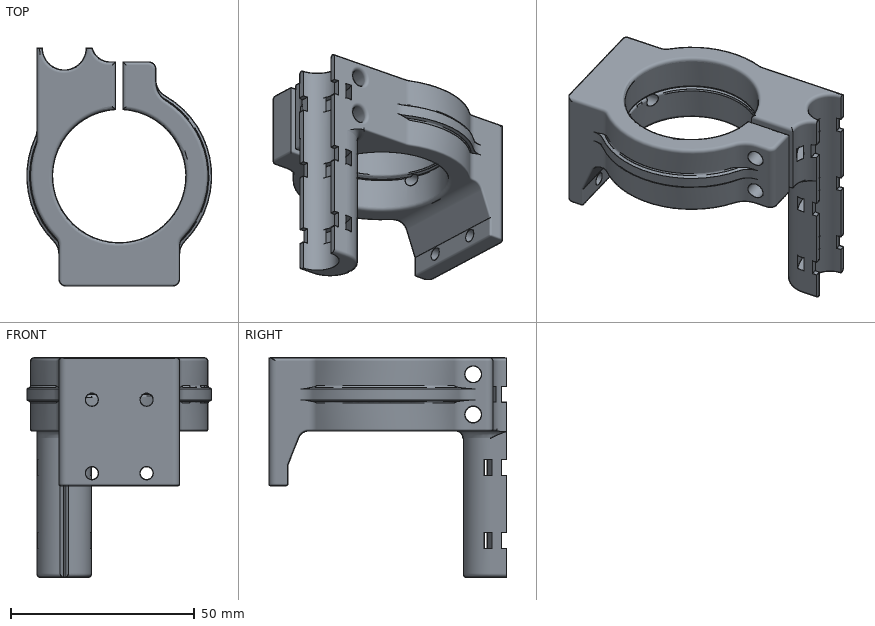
import cadquery as cq
import math


LENGTH = 65.0

TOP_ROUND = 1.0
BOTTOM_ROUND = 0.5
CORNER_ROUND = 2.0

BORE_RADIUS = 18.2
RING_RADIUS = 24.25
RING_HEIGHT = 20.0
RING_MID_Z = -RING_HEIGHT / 2
RING_FILLET = 3.0
BORE_GROOVE_HALF_WIDTH = 0.57

FLANK_ANGLE = 60.0
FLANK_ROUND = 0.5

RIB_RADIUS = 50.5 / 2
RIB_FLAT = 3.0
RIB_FLANK_HEIGHT = (RIB_RADIUS - RING_RADIUS) / math.tan(math.radians(FLANK_ANGLE))
RIB_FILLET = 5.0

BLOCK_HALF_WIDTH = 16.5
BLOCK_FRONT_Y = -30.0
BLOCK_HEIGHT = 35.0
FRONT_TRIM = 0.4
FLANGE_BACK_Y = -24.8
SLOPE_BOTTOM_Z = -29.4
SLOPE_TOP_Y = -21.1
SLOPE_FILLET = 3.0
SCREW_DIAMETER = 3.5
SCREW_SPACING_X = 14.95
SCREW_TOP_Z = -11.5
SCREW_SPACING_Z = 20.0
SCREW_Z = (SCREW_TOP_Z, SCREW_TOP_Z - SCREW_SPACING_Z)

GAP_WIDTH = 2.0
GAP_START_Y = 13.0
JAW_TOP_Y = 31.2
JAW_RIGHT_X = 10.0
JAW_FILLET = 6.0
LEFT_JAW_RADIUS = 5.0
BOLT_DIAMETER = 4.5
BOLT_SPACING = 11.0
BOLT_Y = 25.8

TUBE_RADIUS = 7.5
TUBE_X = -15.0
TUBE_LEFT_X = TUBE_X - TUBE_RADIUS
TUBE_RIGHT_X = TUBE_X + TUBE_RADIUS
TUBE_OPEN_Y = BLOCK_FRONT_Y + LENGTH
TUBE_CENTER_INSET = 4.5
TUBE_CENTER_Y = TUBE_OPEN_Y - TUBE_CENTER_INSET
TUBE_HEIGHT = 60.0
TUBE_FLARE = 2.0
CHANNEL_RADIUS = 6.0
TUBE_GROOVE_HALF_WIDTH = 1.05
TUBE_GROOVE_FLOOR_HALF_WIDTH = 0.23
TUBE_GROOVE_DEPTH = 1.0
TUBE_GROOVE_LIP_ROUND = 1.0

STRAP_COUNT = 3
STRAP_SPACING = 19.95
STRAP_HEIGHT = 4.3
STRAP_CENTER_Y = 48.35
STRAP_INNER_RADIUS = 18.9
STRAP_OUTER_RADIUS = 20.8
NOTCH_DEPTH = 1.35

CLEAR = 3.25
TOLERANCE = 0.005
DIAGONAL = math.sin(math.radians(45))


def box(x0, x1, y0, y1, z0, z1):
    return cq.Workplane("XY").box(x1 - x0, y1 - y0, z1 - z0, centered=False).translate((x0, y0, z0))


def cylinder(x, y, radius, z0, z1):
    return cq.Workplane("XY", origin=(x, y, z0)).circle(radius).extrude(z1 - z0)


def wall_to_ring(wall_x, side, ring_radius, fillet):
    """Points of the concave arc from the wall x = wall_x to a circle about the bore axis.

    side is +1 for the arc behind the bore axis and -1 for the arc in front of it.
    Returns the tangent point on the wall, a mid point and the tangent point on the circle.
    """
    direction = math.copysign(1, wall_x)
    center_x = wall_x + direction * fillet
    reach = ring_radius + fillet
    center_y = side * math.sqrt(reach**2 - center_x**2)
    on_wall = (wall_x, center_y)
    on_ring = (center_x * ring_radius / reach, center_y * ring_radius / reach)
    to_wall = (-direction, 0)
    to_ring = (-center_x / reach, -center_y / reach)
    middle = (to_wall[0] + to_ring[0], to_wall[1] + to_ring[1])
    length = math.hypot(*middle)
    mid = (center_x + fillet * middle[0] / length, center_y + fillet * middle[1] / length)
    return on_wall, mid, on_ring


def ring_sides(start, radius, front_fillet, jaw_fillet, front_y):
    """Outline from start, down the right side of a ring, round the block and up to the left wall."""
    right_jaw = wall_to_ring(JAW_RIGHT_X, 1, radius, jaw_fillet)
    right_block = wall_to_ring(BLOCK_HALF_WIDTH, -1, radius, front_fillet)
    left_block = wall_to_ring(-BLOCK_HALF_WIDTH, -1, radius, front_fillet)
    left_plate = wall_to_ring(TUBE_LEFT_X, 1, radius, front_fillet)
    return (
        start.lineTo(*right_jaw[0])
        .threePointArc(right_jaw[1], right_jaw[2])
        .threePointArc((radius, 0), right_block[2])
        .threePointArc(right_block[1], right_block[0])
        .lineTo(BLOCK_HALF_WIDTH, front_y)
        .lineTo(-BLOCK_HALF_WIDTH, front_y)
        .lineTo(*left_block[0])
        .threePointArc(left_block[1], left_block[2])
        .threePointArc((-radius, 0), left_plate[2])
        .threePointArc(left_plate[1], left_plate[0])
    )


def clamp_outline(front_y):
    """Outer outline of the clamp, with the gap between the jaws but without bore and channel."""
    half_gap = GAP_WIDTH / 2
    arc_center_x = TUBE_RIGHT_X + LEFT_JAW_RADIUS
    arc_center_y = JAW_TOP_Y + LEFT_JAW_RADIUS
    open_x = arc_center_x - math.sqrt(LEFT_JAW_RADIUS**2 - (arc_center_y - TUBE_OPEN_Y) ** 2)
    arc_mid = (
        arc_center_x - LEFT_JAW_RADIUS * DIAGONAL,
        arc_center_y - LEFT_JAW_RADIUS * DIAGONAL,
    )
    corner_center = (JAW_RIGHT_X - CORNER_ROUND, JAW_TOP_Y - CORNER_ROUND)
    corner_mid = (
        corner_center[0] + CORNER_ROUND * DIAGONAL,
        corner_center[1] + CORNER_ROUND * DIAGONAL,
    )
    start = (
        cq.Workplane("XY")
        .moveTo(TUBE_LEFT_X, TUBE_OPEN_Y)
        .lineTo(open_x, TUBE_OPEN_Y)
        .threePointArc(arc_mid, (arc_center_x, JAW_TOP_Y))
        .lineTo(-half_gap, JAW_TOP_Y)
        .lineTo(-half_gap, GAP_START_Y)
        .lineTo(half_gap, GAP_START_Y)
        .lineTo(half_gap, JAW_TOP_Y)
        .lineTo(corner_center[0], JAW_TOP_Y)
        .threePointArc(corner_mid, (JAW_RIGHT_X, corner_center[1]))
    )
    return ring_sides(start, RING_RADIUS, RING_FILLET, JAW_FILLET, front_y).close()


def on_open_end(edge):
    return abs(edge.Center().y - TUBE_OPEN_Y) < TOLERANCE


def on_outer_bottom(edge):
    """True for the lower outer edges of the ring, gusset and flange."""
    center = edge.Center()
    across_gusset = abs(center.x) < TOLERANCE and center.y < 0 and center.z > -BLOCK_HEIGHT + TOLERANCE
    return center.z < -RING_HEIGHT + TOLERANCE and not across_gusset


def front_trim():
    """Cutter that leaves a flat block front with rounded vertical corners."""
    waste = box(
        -BLOCK_HALF_WIDTH - CLEAR, BLOCK_HALF_WIDTH + CLEAR,
        BLOCK_FRONT_Y - CLEAR, BLOCK_FRONT_Y + CORNER_ROUND,
        -BLOCK_HEIGHT - CLEAR, CLEAR,
    )
    block = box(
        -BLOCK_HALF_WIDTH, BLOCK_HALF_WIDTH,
        BLOCK_FRONT_Y, 0,
        -BLOCK_HEIGHT - 2 * CLEAR, 2 * CLEAR,
    )
    return waste.cut(block.edges("|Z and <Y").fillet(CORNER_ROUND))


def flange():
    """Lower part of the mounting block, with a sloping gusset up to the clamp."""
    root_z = -RING_HEIGHT / 2
    side = [
        (BLOCK_FRONT_Y, root_z),
        (BLOCK_FRONT_Y, -BLOCK_HEIGHT),
        (FLANGE_BACK_Y, -BLOCK_HEIGHT),
        (FLANGE_BACK_Y, SLOPE_BOTTOM_Z),
        (SLOPE_TOP_Y, -RING_HEIGHT),
        (SLOPE_TOP_Y, root_z),
    ]
    return cq.Workplane("YZ").polyline(side).close().extrude(BLOCK_HALF_WIDTH, both=True)


def clamp():
    """Ring, jaws, plate and mounting block with their outer rounds, before the bore is cut."""
    body = clamp_outline(BLOCK_FRONT_Y - FRONT_TRIM).extrude(-RING_HEIGHT)
    top_edges = [e for e in body.faces(">Z").edges().vals() if not on_open_end(e)]
    body = body.newObject(top_edges).fillet(TOP_ROUND)
    body = body.union(flange()).cut(front_trim())
    slope_top = cq.selectors.NearestToPointSelector((0, SLOPE_TOP_Y, -RING_HEIGHT))
    body = body.edges("|X").edges(slope_top).fillet(SLOPE_FILLET)
    bottom_edges = [e for e in body.edges().vals() if on_outer_bottom(e) and not on_open_end(e)]
    return body.newObject(bottom_edges).fillet(BOTTOM_ROUND)


def jaw_gap():
    """Cutter that keeps the rib out of the gap between the jaws."""
    return box(-GAP_WIDTH / 2, GAP_WIDTH / 2, 0, JAW_TOP_Y, -RING_HEIGHT, 0)


def rib():
    """Rib around the ring, flat outside, with steep flanks widening towards the ring."""
    inside_block_y = BLOCK_FRONT_Y + 2 * CORNER_ROUND
    inside_jaw_y = JAW_TOP_Y - CORNER_ROUND
    start = cq.Workplane("XY").moveTo(TUBE_LEFT_X, inside_jaw_y).lineTo(JAW_RIGHT_X, inside_jaw_y)
    outline = ring_sides(start, RIB_RADIUS, RIB_FILLET, RIB_FILLET, inside_block_y).close()
    wire = outline.val()
    band = cq.Workplane("XY").add(wire).toPending().extrude(RIB_FLAT / 2)
    flank = cq.Workplane("XY").add(wire).toPending().extrude(RIB_FLANK_HEIGHT, taper=FLANK_ANGLE)
    flank = flank.translate((0, 0, RIB_FLAT / 2))
    half = band.union(flank)
    whole = half.union(half.mirror("XY"))
    return whole.translate((0, 0, RING_MID_Z))


def tube():
    """Solid pipe holder, flared where it meets the underside of the clamp."""
    body = cylinder(TUBE_X, TUBE_CENTER_Y, TUBE_RADIUS, -TUBE_HEIGHT, -CLEAR)
    body = body.union(
        box(TUBE_LEFT_X, TUBE_RIGHT_X, TUBE_CENTER_Y, TUBE_OPEN_Y, -TUBE_HEIGHT, -CLEAR)
    )
    bottom_edges = [e for e in body.faces("<Z").edges().vals() if not on_open_end(e)]
    body = body.newObject(bottom_edges).fillet(TOP_ROUND)
    bend = TUBE_FLARE * (1 - DIAGONAL)
    flare = (
        cq.Workplane("XZ")
        .moveTo(0, -CLEAR)
        .lineTo(TUBE_RADIUS + TUBE_FLARE, -CLEAR)
        .lineTo(TUBE_RADIUS + TUBE_FLARE, -RING_HEIGHT)
        .threePointArc(
            (TUBE_RADIUS + bend, -RING_HEIGHT - bend),
            (TUBE_RADIUS, -RING_HEIGHT - TUBE_FLARE),
        )
        .lineTo(0, -RING_HEIGHT - TUBE_FLARE)
        .close()
        .revolve(360, (0, 0, 0), (0, 1, 0))
        .translate((TUBE_X, TUBE_CENTER_Y, 0))
    )
    under_clamp = clamp_outline(BLOCK_FRONT_Y).extrude(-TUBE_HEIGHT).translate((0, 0, -TOP_ROUND))
    return body.union(flare.intersect(under_clamp))


def rounded_bore(radius, bottom_z, top_round, bottom_round):
    """Cutter for a vertical bore from z = 0 down, widening along a round at each end."""
    def bulge(round_radius):
        return round_radius * (1 - DIAGONAL)

    profile = (
        cq.Workplane("XZ")
        .moveTo(0, CLEAR)
        .lineTo(radius + top_round, CLEAR)
        .lineTo(radius + top_round, 0)
        .threePointArc((radius + bulge(top_round), -bulge(top_round)), (radius, -top_round))
    )
    if bottom_round > 0:
        profile = (
            profile.lineTo(radius, bottom_z + bottom_round)
            .threePointArc(
                (radius + bulge(bottom_round), bottom_z + bulge(bottom_round)),
                (radius + bottom_round, bottom_z),
            )
        )
    else:
        profile = profile.lineTo(radius, bottom_z)
    return (
        profile.lineTo(radius + bottom_round, bottom_z - CLEAR)
        .lineTo(0, bottom_z - CLEAR)
        .close()
        .revolve(360, (0, 0, 0), (0, 1, 0))
    )


def lip_points(radius, half_width):
    """Arc that rounds the lower edge between a cylinder and a flank leaning out from it.

    The flank meets the cylinder at z = -half_width. Each point is a radius and a height:
    the tangent point on the cylinder, a mid point and the tangent point on the flank.
    """
    lean = math.radians(FLANK_ANGLE)
    tangent = FLANK_ROUND * math.tan(lean / 2)
    center = (radius + FLANK_ROUND, -half_width - tangent)
    corner_distance = math.hypot(FLANK_ROUND, tangent)
    mid = (
        center[0] - FLANK_ROUND * FLANK_ROUND / corner_distance,
        center[1] + FLANK_ROUND * tangent / corner_distance,
    )
    on_flank = (radius + tangent * math.sin(lean), -half_width + tangent * math.cos(lean))
    return (radius, center[1]), mid, on_flank


def lipped_ring(radius, half_width, tip):
    """Ring about the z axis, symmetric in z, with rounded lips at a cylinder and an outer tip."""
    on_cylinder, mid, on_flank = lip_points(radius, half_width)
    inner_radius = radius - FLANK_ROUND
    return (
        cq.Workplane("XZ")
        .moveTo(inner_radius, on_cylinder[1])
        .lineTo(*on_cylinder)
        .threePointArc(mid, on_flank)
        .lineTo(*tip)
        .lineTo(on_flank[0], -on_flank[1])
        .threePointArc((mid[0], -mid[1]), (radius, -on_cylinder[1]))
        .lineTo(inner_radius, -on_cylinder[1])
        .close()
        .revolve(360, (0, 0, 0), (0, 1, 0))
    )


def bore_groove():
    """V groove around the bore, with rounded lips."""
    tip = (BORE_RADIUS + BORE_GROOVE_HALF_WIDTH * math.tan(math.radians(FLANK_ANGLE)), 0)
    return lipped_ring(BORE_RADIUS, BORE_GROOVE_HALF_WIDTH, tip).translate((0, 0, RING_MID_Z))


def rib_root():
    """Concave rounds where the flanks of the rib meet the ring."""
    half_width = RIB_FLAT / 2 + RIB_FLANK_HEIGHT
    on_flank = lip_points(RING_RADIUS, half_width)[2]
    return lipped_ring(RING_RADIUS, half_width, (on_flank[0], 0)).translate((0, 0, RING_MID_Z))


def tube_groove():
    """Narrow groove down the front of the pipe holder, with rounded lips."""
    front_y = TUBE_CENTER_Y - TUBE_RADIUS
    lip = TUBE_GROOVE_HALF_WIDTH
    floor = TUBE_GROOVE_FLOOR_HALF_WIDTH
    profile = [
        (-lip - CLEAR, front_y - CLEAR),
        (lip + CLEAR, front_y - CLEAR),
        (lip + CLEAR, front_y),
        (lip, front_y),
        (floor, front_y + TUBE_GROOVE_DEPTH),
        (-floor, front_y + TUBE_GROOVE_DEPTH),
        (-lip, front_y),
        (-lip - CLEAR, front_y),
    ]
    cutter = (
        cq.Workplane("XY", origin=(TUBE_X, 0, -TUBE_HEIGHT - CLEAR))
        .polyline(profile).close()
        .extrude(TUBE_HEIGHT + CLEAR - RING_HEIGHT - TUBE_FLARE)
    )
    for side in (-1, 1):
        lip_edge = cq.selectors.NearestToPointSelector(
            (TUBE_X + side * lip, front_y, -(TUBE_HEIGHT + RING_HEIGHT + CLEAR) / 2)
        )
        cutter = cutter.edges("|Z").edges(lip_edge).fillet(TUBE_GROOVE_LIP_ROUND)
    return cutter


def screw_holes():
    """Four screw holes through the mounting block, the upper two opening into the bore."""
    points = [(side * SCREW_SPACING_X / 2, z) for side in (-1, 1) for z in SCREW_Z]
    return (
        cq.Workplane("XZ", origin=(0, BLOCK_FRONT_Y - CLEAR, 0))
        .pushPoints(points)
        .circle(SCREW_DIAMETER / 2)
        .extrude(BLOCK_FRONT_Y - CLEAR)
    )


def bolt_hole(z):
    """Clamping bolt hole through both jaws, rounded where it leaves the left face."""
    length = JAW_RIGHT_X - TUBE_LEFT_X
    hole = rounded_bore(BOLT_DIAMETER / 2, -length, TOP_ROUND, 0)
    return hole.rotate((0, 0, 0), (0, 1, 0), -90).translate((TUBE_LEFT_X, BOLT_Y, z))


def strap_slot(z):
    """Curved slot for a strap passing behind the pipe."""
    bottom = z - STRAP_HEIGHT / 2
    top = z + STRAP_HEIGHT / 2
    outer = cylinder(TUBE_X, STRAP_CENTER_Y, STRAP_OUTER_RADIUS, bottom, top)
    slot = outer.cut(cylinder(TUBE_X, STRAP_CENTER_Y, STRAP_INNER_RADIUS, bottom, top))
    notch = box(
        TUBE_LEFT_X - CLEAR, TUBE_RIGHT_X + CLEAR,
        TUBE_OPEN_Y - NOTCH_DEPTH, TUBE_OPEN_Y + CLEAR,
        bottom, top,
    )
    reach = box(
        TUBE_LEFT_X - CLEAR, -GAP_WIDTH / 2,
        TUBE_CENTER_Y - TUBE_RADIUS, TUBE_OPEN_Y,
        bottom, top,
    )
    return slot.intersect(reach).union(notch)


result = clamp().union(rib()).union(rib_root()).union(tube())
result = result.cut(rounded_bore(BORE_RADIUS, -RING_HEIGHT, TOP_ROUND, TOP_ROUND))
result = result.cut(bore_groove()).cut(jaw_gap())
channel = rounded_bore(CHANNEL_RADIUS, -TUBE_HEIGHT, TOP_ROUND, 0)
result = result.cut(channel.translate((TUBE_X, TUBE_OPEN_Y, 0)))
result = result.cut(tube_groove())
result = result.cut(screw_holes())
for side in (-1, 1):
    result = result.cut(bolt_hole(RING_MID_Z + side * BOLT_SPACING / 2))
for index in range(STRAP_COUNT):
    result = result.cut(strap_slot(RING_MID_Z - index * STRAP_SPACING))